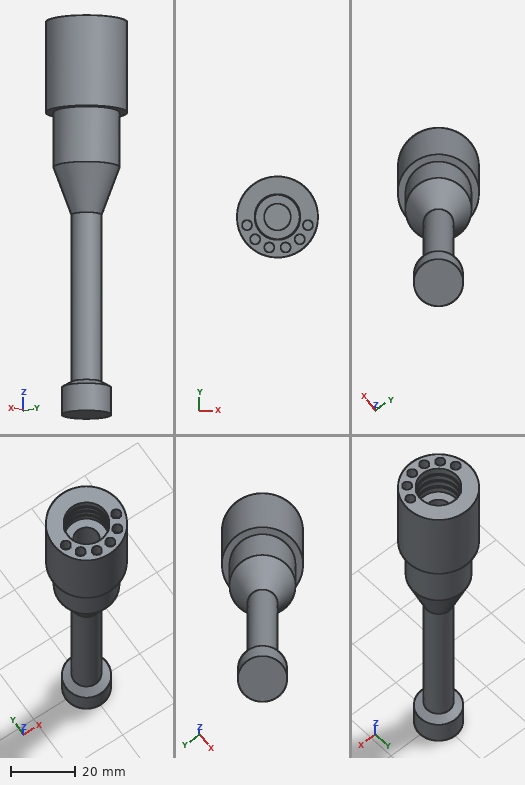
import cadquery as cq
import math

total_height = 124.5
sleeve_bottom = 95.9
taper_top = 78.5
taper_bottom = 63.4

sleeve_diameter = 25.4
neck_diameter = 20.7
rod_diameter = 9.5
tip_diameter = 15.5

tip_shoulder = 8.6
tip_slope_degrees = 30.0
tip_top = tip_shoulder + (tip_diameter - rod_diameter) / 2 * math.tan(math.radians(tip_slope_degrees))
rod_bottom = tip_shoulder

bore_diameter = 14.3
bore_depth = 12.5
bore_floor = total_height - bore_depth
rib_count = 3
rib_pitch = 3.2
rib_width = 0.9
rib_height = 0.2
first_rib_depth = 2.7
rib_root = 0.2

pilot_diameter = 8.3
pilot_floor = sleeve_bottom

index_hole_count = 6
index_hole_diameter = 3.1
index_hole_depth = 2 * index_hole_diameter
index_circle_radius = 9.8
index_start_degrees = 195.0
index_step_degrees = 30.0


def cylinder(diameter, bottom, top):
    """Cylinder on the Z axis between two heights."""
    return cq.Workplane("XY").workplane(offset=bottom).circle(diameter / 2).extrude(top - bottom)


def revolve_profile(points):
    """Turn a closed (radius, height) profile about the Z axis."""
    return cq.Workplane("XZ").polyline(points).close().revolve(360, (0, 0, 0), (0, 1, 0))


def make_bore_rib(rib_top):
    """Ring with a rounded crest that stands out from the bore wall."""
    bore_radius = bore_diameter / 2
    root_radius = bore_radius + rib_root
    crest = (bore_radius - rib_height, rib_top - rib_width / 2)
    rib_bottom = rib_top - rib_width
    return (
        cq.Workplane("XZ")
        .moveTo(root_radius, rib_bottom)
        .lineTo(bore_radius, rib_bottom)
        .threePointArc(crest, (bore_radius, rib_top))
        .lineTo(root_radius, rib_top)
        .close()
        .revolve(360, (0, 0, 0), (0, 1, 0))
    )


def make_index_holes():
    """Blind holes spaced along an arc of the top face."""
    return (
        cq.Workplane("XY")
        .workplane(offset=total_height)
        .polarArray(
            index_circle_radius,
            index_start_degrees,
            index_step_degrees * (index_hole_count - 1),
            index_hole_count,
        )
        .circle(index_hole_diameter / 2)
        .extrude(-index_hole_depth)
    )


def make_handle():
    """Stepped sleeve, taper and rod in one piece, bored from the top."""
    handle = revolve_profile([
        (0, rod_bottom),
        (rod_diameter / 2, rod_bottom),
        (rod_diameter / 2, taper_bottom),
        (neck_diameter / 2, taper_top),
        (neck_diameter / 2, sleeve_bottom),
        (sleeve_diameter / 2, sleeve_bottom),
        (sleeve_diameter / 2, total_height),
        (0, total_height),
    ])
    handle = handle.cut(cylinder(bore_diameter, bore_floor, total_height))
    handle = handle.cut(cylinder(pilot_diameter, pilot_floor, bore_floor))
    for index in range(rib_count):
        rib_top = total_height - first_rib_depth - index * rib_pitch
        handle = handle.union(make_bore_rib(rib_top))
    return handle.cut(make_index_holes())


def make_tip():
    """Foot with a conical top and a blind socket for the end of the rod."""
    tip = revolve_profile([
        (0, 0),
        (tip_diameter / 2, 0),
        (tip_diameter / 2, tip_shoulder),
        (rod_diameter / 2, tip_top),
        (0, tip_top),
    ])
    return tip.cut(cylinder(rod_diameter, rod_bottom, tip_top))


handle = make_handle()
tip = make_tip()

result = cq.Compound.makeCompound([handle.val(), tip.val()])